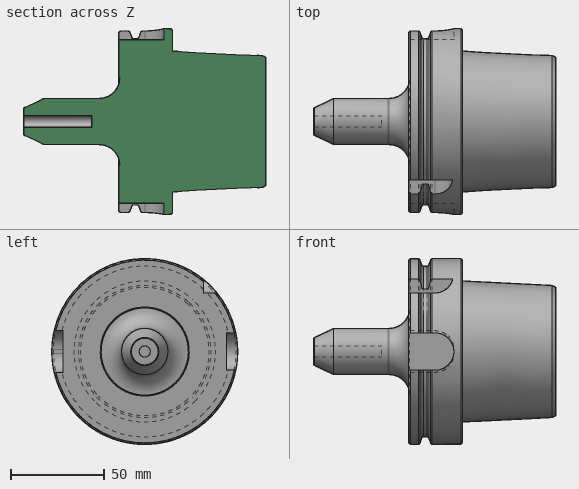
import cadquery as cq
import math

total_length = 130.0
nose_cone_end = 10.7
shank_end = 39.8
flange_front = 51.0
flange_back = 80.0

bore_radius = 3.0
bore_depth = 36.4
tip_radius = 7.5
tip_chamfer = 0.4
shank_radius = 24.8 / 2
neck_radius = 12.5
neck_fillet = 10.9
dish_radius = 23.9
flange_radius = 100.0 / 2
flange_chamfer = 0.9
taper_start_radius = 38.0
taper_slope = 1 / 20
taper_end_chamfer = 2.0
taper_end_chamfer_depth = 1.0

neck_end = 40.5
dish_floor = neck_end + neck_fillet
dish_floor_radius = neck_radius + neck_fillet

groove_center = 59.9
groove_depth = 4.0
groove_floor_width = 3.2
groove_mouth_width = 5.7
groove_edge_width = 7.3
groove_edge_chamfer = 0.6
groove_floor_fillet = 0.9

cut_margin = 1.3

slot_floor = 44.0
slot_end = 75.3
front_slot_end_flat = 0.0
rear_slot_end_flat = 2.3
slot_end_radius = 10.0
notch_offset = 31.5
notch_tangent = 65.3
notch_end_radius = 9.6


def turned_body():
    """Revolve the nose, flange and taper shank about the X axis."""
    neck_middle = (
        neck_end + neck_fillet * math.sin(math.pi / 4),
        neck_radius + neck_fillet * (1 - math.cos(math.pi / 4)),
    )
    taper_end = total_length - taper_end_chamfer
    taper_end_radius = taper_start_radius - taper_slope * (taper_end - flange_back)
    rim_radius = flange_radius - flange_chamfer
    profile = (
        cq.Workplane("XZ")
        .moveTo(0, 0)
        .lineTo(0, tip_radius - tip_chamfer)
        .lineTo(tip_chamfer, tip_radius)
        .lineTo(nose_cone_end, shank_radius)
        .lineTo(shank_end, shank_radius)
        .lineTo(neck_end, neck_radius)
        .threePointArc(neck_middle, (dish_floor, dish_floor_radius))
        .lineTo(flange_front, dish_radius)
        .lineTo(flange_front, rim_radius)
        .lineTo(flange_front + flange_chamfer, flange_radius)
        .lineTo(flange_back - flange_chamfer, flange_radius)
        .lineTo(flange_back, rim_radius)
        .lineTo(flange_back, taper_start_radius)
        .lineTo(taper_end, taper_end_radius)
        .lineTo(total_length, taper_end_radius - taper_end_chamfer_depth)
        .lineTo(total_length, 0)
        .close()
    )
    return profile.revolve(360, (0, 0, 0), (1, 0, 0))


def gripper_groove():
    """Ring with sloped walls and broken edges, to be cut from the flange."""
    floor_radius = flange_radius - groove_depth
    mouth_radius = flange_radius - groove_edge_chamfer
    half_section = [
        (groove_floor_width / 2, floor_radius),
        (groove_mouth_width / 2, mouth_radius),
        (groove_edge_width / 2, flange_radius),
        (groove_edge_width / 2, flange_radius + cut_margin),
    ]
    right_side = [(groove_center + x, r) for x, r in half_section]
    left_side = [(groove_center - x, r) for x, r in reversed(half_section)]
    section = cq.Workplane("XZ").polyline(right_side + left_side).close()
    ring = section.revolve(360, (0, 0, 0), (1, 0, 0))
    floor_edges = cq.selectors.RadiusNthSelector(0)
    return ring.edges(floor_edges).fillet(groove_floor_fillet)


def drive_slot(side, end_flat):
    """Round-ended slot on the +Y (side=1) or -Y (side=-1) edge of the flange."""
    half_flat = end_flat / 2
    half_width = half_flat + slot_end_radius
    arc_start = slot_end - slot_end_radius
    arc_reach = slot_end_radius * math.sin(math.pi / 4)
    arc_middle_x = arc_start + arc_reach
    arc_middle_z = half_flat + arc_reach

    outline = (
        cq.Workplane("XZ", origin=(0, side * slot_floor, 0))
        .moveTo(flange_front, -half_width)
        .lineTo(arc_start, -half_width)
        .threePointArc((arc_middle_x, -arc_middle_z), (slot_end, -half_flat))
    )
    if end_flat > 0:
        outline = outline.lineTo(slot_end, half_flat)
    outline = (
        outline.threePointArc((arc_middle_x, arc_middle_z), (arc_start, half_width))
        .lineTo(flange_front, half_width)
        .close()
    )
    return outline.extrude(-side * (flange_radius - slot_floor + cut_margin))


def index_notch():
    """Corner notch towards -Y and +Z, its floor curving up at the end."""
    size = flange_radius - notch_offset
    arc_middle = (
        notch_tangent + notch_end_radius * math.sin(math.pi / 4),
        notch_offset + notch_end_radius * (1 - math.cos(math.pi / 4)),
    )
    arc_end = (notch_tangent + notch_end_radius, notch_offset + notch_end_radius)
    return (
        cq.Workplane("XZ", origin=(0, -notch_offset, 0))
        .moveTo(flange_front, notch_offset)
        .lineTo(notch_tangent, notch_offset)
        .threePointArc(arc_middle, arc_end)
        .lineTo(arc_end[0], flange_radius)
        .lineTo(flange_front, flange_radius)
        .close()
        .extrude(size)
    )


bore = cq.Workplane("YZ").circle(bore_radius).extrude(bore_depth)

result = (
    turned_body()
    .cut(gripper_groove())
    .cut(drive_slot(-1, front_slot_end_flat))
    .cut(drive_slot(1, rear_slot_end_flat))
    .cut(index_notch())
    .cut(bore)
)